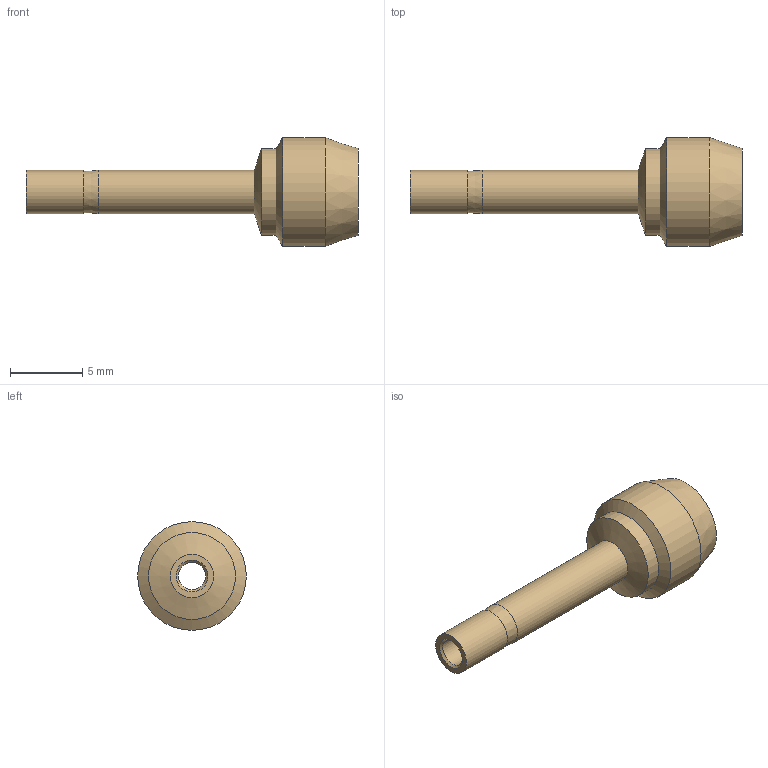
import cadquery as cq

overall_length = 22.9
tip_length = 4.0
groove_width = 1.0
end_taper_length = 2.25
head_length = 2.95
shoulder_length = 0.45
collar_length = 1.0
collar_taper_length = 0.5

stem_diameter = 3.0
collar_diameter = 6.0
head_diameter = 7.5
end_diameter = 6.0
bore_diameter = 1.9

groove_depth = 0.075
bore_chamfer = 0.15

groove_start = tip_length
groove_end = groove_start + groove_width
end_taper_start = overall_length - end_taper_length
head_start = end_taper_start - head_length
collar_end = head_start - shoulder_length
collar_start = collar_end - collar_length
stem_end = collar_start - collar_taper_length

stem_radius = stem_diameter / 2
collar_radius = collar_diameter / 2
head_radius = head_diameter / 2
end_radius = end_diameter / 2
bore_radius = bore_diameter / 2


def make_half_profile():
    """Half section through the part: X is the axis, Y is the radius."""
    return (
        cq.Workplane("XY")
        .moveTo(0, bore_radius + bore_chamfer)
        .lineTo(0, stem_radius)
        .lineTo(groove_start, stem_radius)
        .lineTo(groove_start, stem_radius - groove_depth)
        .lineTo(groove_end, stem_radius)
        .lineTo(stem_end, stem_radius)
        .lineTo(collar_start, collar_radius)
        .lineTo(collar_end, collar_radius)
        .lineTo(head_start, head_radius)
        .lineTo(end_taper_start, head_radius)
        .lineTo(overall_length, end_radius)
        .lineTo(overall_length, bore_radius)
        .lineTo(bore_chamfer, bore_radius)
        .close()
    )


result = make_half_profile().revolve(360, (0, 0, 0), (1, 0, 0))